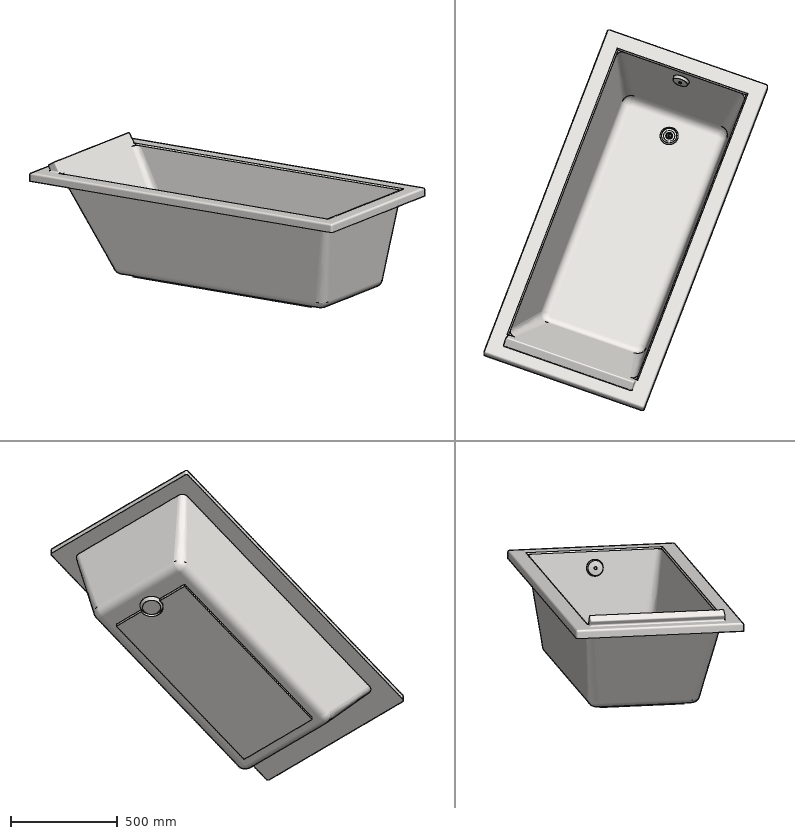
import cadquery as cq
import math

RIM_LENGTH = 1700.0
RIM_WIDTH = 800.0
RIM_HEIGHT = 39.0
RIM_ROUND = 10.0

TUB_DEPTH = 468.0
WALL = 7.0
BACKREST_ANGLE = 30.0
WALL_ANGLE = 8.0
BASE_BACK_X = -465.0
BASE_FOOT_X = 710.0
BASE_HALF_WIDTH = 262.0
CORNER_RADIUS_TOP = 29.0
CORNER_RADIUS_BASE = 45.0
FLOOR_FILLET = 40.0

LEAD_DEPTH = 7.0
LEAD_FLARE = 7.0

HEADREST_TOP = 51.0
HEADREST_THICKNESS = 46.0
HEADREST_WIDTH = 643.0
HEADREST_ROUND = 7.0
HEADREST_BLEND = 7.0

BOARD_BACK_X = -398.0
BOARD_FRONT_X = 600.0
BOARD_WIDTH = 400.0
BOARD_THICKNESS = 15.0

DRAIN_X = 592.0
DRAIN_FLANGE_DIAMETER = 85.0
DRAIN_TOP_DIAMETER = 71.0
DRAIN_FLANGE_HEIGHT = 5.0
DRAIN_EDGE_HEIGHT = 3.0
DRAIN_STEM_DIAMETER = 53.0
DRAIN_NUT_TOP_DIAMETER = 109.0
DRAIN_NUT_BOTTOM_DIAMETER = 85.0
DRAIN_RECESS_DIAMETER = 32.0
DRAIN_RECESS_DEPTH = 3.0
DRAIN_BUTTON_DIAMETER = 24.0
DRAIN_SCREW_DIAMETER = 9.2

OVERFLOW_Z = -83.0
OVERFLOW_BASE_DIAMETER = 80.0
OVERFLOW_FACE_DIAMETER = 71.0
OVERFLOW_THICKNESS = 15.0
OVERFLOW_CROWN = 3.0
OVERFLOW_SCREW_DIAMETER = 13.0
OVERFLOW_SCREW_DEPTH = 3.0

PICK_MARGIN = 0.2

BACKREST_SLOPE = math.tan(math.radians(BACKREST_ANGLE))
WALL_SLOPE = math.tan(math.radians(WALL_ANGLE))
BACKREST_INSET = WALL / math.cos(math.radians(BACKREST_ANGLE))
WALL_INSET = WALL / math.cos(math.radians(WALL_ANGLE))
FLOOR_Z = WALL - TUB_DEPTH


def wall_lines(z, inner):
    """Return the back X, the foot X and the half width of the basin at height z."""
    rise = z + TUB_DEPTH
    back = BASE_BACK_X - BACKREST_SLOPE * rise
    foot = BASE_FOOT_X + WALL_SLOPE * rise
    half_width = BASE_HALF_WIDTH + WALL_SLOPE * rise
    if inner:
        return back + BACKREST_INSET, foot - WALL_INSET, half_width - WALL_INSET
    return back, foot, half_width


def level_rectangle(z, back, foot, half_width, radius=0):
    """Return a level rectangle at height z, its corners rounded if a radius is given."""
    outline = cq.Sketch().rect(foot - back, 2 * half_width)
    if radius:
        outline = outline.vertices().fillet(radius)
    return outline.moved(cq.Location(cq.Vector((back + foot) / 2, 0, z)))


def straight_loft(lower, upper):
    """Return the solid with straight sides between two level outlines, its flat sides as true planes."""
    loft = cq.Workplane("XY").placeSketch(lower, upper).loft(ruled=True)
    sides = []
    for side in loft.faces().vals():
        is_corner = any(edge.geomType() == "CIRCLE" for edge in side.Edges())
        is_level = side.geomType() == "PLANE"
        sides.append(side if is_corner or is_level else cq.Face.makeFromWires(side.outerWire()))
    return cq.Workplane(cq.Solid.makeSolid(cq.Shell.makeShell(sides)))


def make_basin(bottom_z, inner):
    """Return a solid basin with tapered corners and a rounded floor edge."""
    lower = level_rectangle(bottom_z, *wall_lines(bottom_z, inner), CORNER_RADIUS_BASE)
    upper = level_rectangle(0, *wall_lines(0, inner), CORNER_RADIUS_TOP)
    return straight_loft(lower, upper).faces("<Z").edges().fillet(FLOOR_FILLET)


def make_lead_in():
    """Return the flared, square-cornered cutter for the mouth of the basin."""
    back, foot, half_width = wall_lines(-LEAD_DEPTH, True)
    top_back = wall_lines(0, True)[0]
    lower = level_rectangle(-LEAD_DEPTH, back, foot, half_width)
    upper = level_rectangle(0, top_back, foot + LEAD_FLARE, half_width + LEAD_FLARE)
    return straight_loft(lower, upper)


def make_headrest():
    """Return the raised slab whose front face lies in the plane of the backrest."""
    front_x = wall_lines(0, True)[0]
    top_x = wall_lines(HEADREST_TOP, True)[0]
    angle = math.radians(BACKREST_ANGLE)
    rear_x = top_x - HEADREST_THICKNESS * math.cos(angle)
    rear_z = HEADREST_TOP - HEADREST_THICKNESS * math.sin(angle)
    slab = (
        cq.Workplane("XZ")
        .polyline([
            (front_x, 0),
            (top_x, HEADREST_TOP),
            (rear_x, rear_z),
            (rear_x + BACKREST_SLOPE * rear_z, 0),
        ])
        .close()
        .extrude(HEADREST_WIDTH / 2, both=True)
    )
    return slab.edges("not <Z").fillet(HEADREST_ROUND)


def headrest_seam():
    """Return a selector for the edges where the headrest stands on the top of the rim."""
    front_x = wall_lines(0, True)[0]
    half_width = HEADREST_WIDTH / 2
    return cq.selectors.BoxSelector(
        (front_x - 2 * HEADREST_THICKNESS, -half_width - PICK_MARGIN, -PICK_MARGIN),
        (front_x + PICK_MARGIN, half_width + PICK_MARGIN, PICK_MARGIN),
        boundingbox=True,
    )


def disc(x, top_z, diameter, height):
    """Return an upright disc on the Y = 0 line, hanging down from top_z."""
    return cq.Workplane("XY", origin=(x, 0, top_z)).circle(diameter / 2).extrude(-height)


def cone(x, top_z, top_diameter, bottom_diameter, height):
    """Return a disc on the Y = 0 line that narrows downward from top_z."""
    return (
        cq.Workplane("XZ", origin=(x, 0, top_z))
        .polyline([(0, 0), (top_diameter / 2, 0), (bottom_diameter / 2, -height), (0, -height)])
        .close()
        .revolve(360, (0, 0), (0, 1))
    )


def foot_wall_plane():
    """Return a plane through the overflow axis, its local Y pointing into the tub."""
    foot = wall_lines(OVERFLOW_Z, True)[1]
    along_wall = (WALL_SLOPE, 0, 1)
    return cq.Plane(origin=(foot, 0, OVERFLOW_Z), xDir=along_wall, normal=(0, -1, 0))


def make_tub():
    """Return the rim, basin and headrest as one solid with a drain hole."""
    rim = (
        cq.Workplane("XY", origin=(0, 0, -RIM_HEIGHT))
        .rect(RIM_LENGTH, RIM_WIDTH)
        .extrude(RIM_HEIGHT)
        .edges("|Z or >Z")
        .fillet(RIM_ROUND)
    )
    tub = rim.union(make_basin(-TUB_DEPTH, False))
    tub = tub.cut(make_basin(FLOOR_Z, True)).cut(make_lead_in())
    tub = tub.union(make_headrest())
    tub = tub.edges(headrest_seam()).fillet(HEADREST_BLEND)
    return tub.cut(disc(DRAIN_X, FLOOR_Z, DRAIN_STEM_DIAMETER, WALL))


def make_board():
    """Return the board under the floor, notched around the drain nut."""
    board = (
        cq.Workplane("XY", origin=(0, 0, -TUB_DEPTH))
        .center((BOARD_BACK_X + BOARD_FRONT_X) / 2, 0)
        .rect(BOARD_FRONT_X - BOARD_BACK_X, BOARD_WIDTH)
        .extrude(-BOARD_THICKNESS)
    )
    return board.cut(disc(DRAIN_X, -TUB_DEPTH, DRAIN_NUT_TOP_DIAMETER, BOARD_THICKNESS))


def make_drain():
    """Return the drain: flange, stem and tapered nut, with a stepped centre."""
    flange_top = FLOOR_Z + DRAIN_FLANGE_HEIGHT
    flange = (
        disc(DRAIN_X, flange_top, DRAIN_FLANGE_DIAMETER, DRAIN_FLANGE_HEIGHT)
        .faces(">Z")
        .edges()
        .chamfer(DRAIN_EDGE_HEIGHT, (DRAIN_FLANGE_DIAMETER - DRAIN_TOP_DIAMETER) / 2)
    )
    nut = cone(DRAIN_X, -TUB_DEPTH, DRAIN_NUT_TOP_DIAMETER, DRAIN_NUT_BOTTOM_DIAMETER, BOARD_THICKNESS)
    drain = (
        flange
        .union(disc(DRAIN_X, FLOOR_Z, DRAIN_STEM_DIAMETER, WALL))
        .union(nut)
    )
    ring = disc(DRAIN_X, flange_top, DRAIN_RECESS_DIAMETER, DRAIN_RECESS_DEPTH)
    button = disc(DRAIN_X, flange_top, DRAIN_BUTTON_DIAMETER, DRAIN_RECESS_DEPTH)
    screw = disc(DRAIN_X, flange_top, DRAIN_SCREW_DIAMETER, DRAIN_RECESS_DEPTH)
    return drain.cut(ring.cut(button)).cut(screw)


def make_overflow():
    """Return the domed overflow cap resting on the foot wall."""
    base_radius = OVERFLOW_BASE_DIAMETER / 2
    face_radius = OVERFLOW_FACE_DIAMETER / 2
    crown_y = OVERFLOW_THICKNESS + OVERFLOW_CROWN
    dome_radius = (face_radius**2 + OVERFLOW_CROWN**2) / (2 * OVERFLOW_CROWN)
    plane = foot_wall_plane()
    cap = (
        cq.Workplane(plane)
        .polyline([(0, crown_y), (0, 0), (base_radius, 0), (face_radius, OVERFLOW_THICKNESS)])
        .radiusArc((0, crown_y), -dome_radius)
        .close()
        .revolve(360, (0, 0), (0, 1))
    )
    screw_recess = (
        cq.Workplane(plane)
        .center(0, crown_y - OVERFLOW_SCREW_DEPTH)
        .rect(OVERFLOW_SCREW_DIAMETER / 2, 2 * OVERFLOW_SCREW_DEPTH, centered=False)
        .revolve(360, (0, 0), (0, 1))
    )
    return cap.cut(screw_recess)


tub = make_tub()
board = make_board()
drain = make_drain()
overflow = make_overflow()
result = cq.Compound.makeCompound([tub.val(), board.val(), drain.val(), overflow.val()])